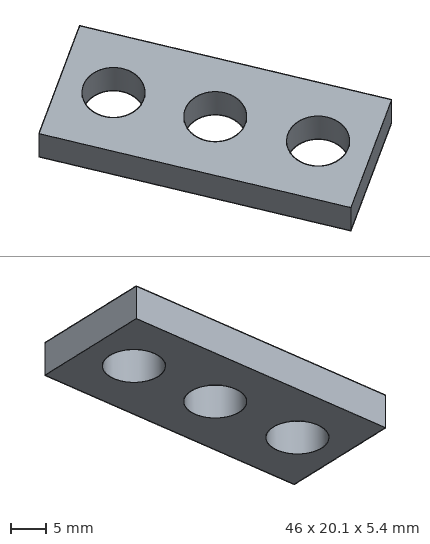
import cadquery as cq

length = 45.97
width = 20.07
thickness = 5.4

hole_diameter = 8.89
left_hole_spacing = 14.985
right_hole_spacing = 15.145


def make_plate():
    """Rectangular plate centred on the origin."""
    return cq.Workplane("XY").box(length, width, thickness)


def cut_hole_row(plate):
    """Cut the three through holes, whose spacing differs slightly left and right."""
    hole_centres = [(-left_hole_spacing, 0), (0, 0), (right_hole_spacing, 0)]
    return (
        plate.faces(">Z")
        .workplane()
        .pushPoints(hole_centres)
        .hole(hole_diameter)
    )


result = cut_hole_row(make_plate())